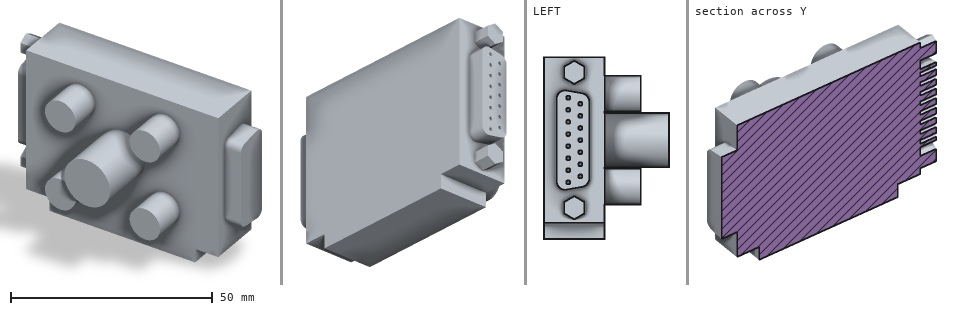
import cadquery as cq
import math

OVERALL_LENGTH = 66.5
BODY_LENGTH = 56.7
BODY_DEPTH = 15.0
BODY_HEIGHT = 41.0
FOOT_LENGTH = 43.0
FOOT_HEIGHT = 4.0

CENTRE_POST_DIAMETER = 13.5
CENTRE_POST_LENGTH = 15.95
CORNER_POST_DIAMETER = 9.0
CORNER_POST_LENGTH = 9.0
CORNER_POST_SPACING_X = 25.0
CORNER_POST_SPACING_Z = 23.0

SHELL_CORNER_RADIUS = 2.05
SOCKET_LENGTH = 5.0
SOCKET_DEPTH = 8.05
SOCKET_HEIGHT = 24.6
SOCKET_OFFSET_Y = 0.3
SOCKET_TAPER = 10.0
PLUG_LENGTH = OVERALL_LENGTH - BODY_LENGTH - SOCKET_LENGTH
PLUG_DEPTH = 9.65
PLUG_HEIGHT = 25.95
PLUG_OFFSET_Y = 0.25
PLUG_TAPER = 7.0

CONTACT_DIAMETER = 1.0
CONTACT_DEPTH = SOCKET_LENGTH
CONTACT_PITCH = 3.0
CONTACT_ROW_SPACING = 3.0
LONG_ROW_COUNT = 8

HEX_ACROSS_FLATS = 5.0
HEX_LENGTH = SOCKET_LENGTH
HEX_SPACING = 33.5


def make_housing():
    block = cq.Workplane("XY").box(BODY_LENGTH, BODY_DEPTH, BODY_HEIGHT)
    foot = (
        cq.Workplane("XY", origin=(0, 0, -BODY_HEIGHT / 2))
        .rect(FOOT_LENGTH, BODY_DEPTH)
        .extrude(-FOOT_HEIGHT)
    )
    return block.union(foot)


def make_posts():
    front_face = cq.Workplane("XZ", origin=(0, -BODY_DEPTH / 2, 0))
    centre_post = front_face.circle(CENTRE_POST_DIAMETER / 2).extrude(CENTRE_POST_LENGTH)
    corner_posts = (
        front_face.rect(CORNER_POST_SPACING_X, CORNER_POST_SPACING_Z, forConstruction=True)
        .vertices()
        .circle(CORNER_POST_DIAMETER / 2)
        .extrude(CORNER_POST_LENGTH)
    )
    return centre_post.union(corner_posts)


def make_shell(start_x, length, depth, height, offset_y, taper_degrees):
    """D-shaped prism along +X; height is measured over its rounded corners."""
    taper = math.radians(taper_degrees)
    arc_centre_z = height / 2 - SHELL_CORNER_RADIUS
    wide_z = arc_centre_z + SHELL_CORNER_RADIUS * (1 + math.sin(taper)) / math.cos(taper)
    narrow_z = wide_z - depth * math.tan(taper)
    wide_y = offset_y + depth / 2
    narrow_y = offset_y - depth / 2
    return (
        cq.Workplane("YZ", origin=(start_x, 0, 0))
        .polyline([(wide_y, wide_z), (narrow_y, narrow_z), (narrow_y, -narrow_z), (wide_y, -wide_z)])
        .close()
        .extrude(length)
        .edges("|X")
        .fillet(SHELL_CORNER_RADIUS)
    )


def make_jack_screws():
    hex_across_corners = HEX_ACROSS_FLATS / math.cos(math.pi / 6)
    screw = (
        cq.Workplane("YZ", origin=(-BODY_LENGTH / 2, 0, 0))
        .transformed(rotate=(0, 0, 90))
        .polygon(6, hex_across_corners)
        .extrude(-HEX_LENGTH)
    )
    upper_screw = screw.translate((0, 0, HEX_SPACING / 2))
    lower_screw = screw.translate((0, 0, -HEX_SPACING / 2))
    return upper_screw.union(lower_screw)


def make_contact_holes():
    """Two staggered rows; the row on the +Y side has one contact more."""
    points = []
    for row_y, count in (
        (CONTACT_ROW_SPACING / 2, LONG_ROW_COUNT),
        (-CONTACT_ROW_SPACING / 2, LONG_ROW_COUNT - 1),
    ):
        for index in range(count):
            points.append((row_y, (index - (count - 1) / 2) * CONTACT_PITCH))
    return (
        cq.Workplane("YZ", origin=(-BODY_LENGTH / 2 - SOCKET_LENGTH, 0, 0))
        .pushPoints(points)
        .circle(CONTACT_DIAMETER / 2)
        .extrude(CONTACT_DEPTH)
    )


socket = make_shell(
    -BODY_LENGTH / 2 - SOCKET_LENGTH,
    SOCKET_LENGTH,
    SOCKET_DEPTH,
    SOCKET_HEIGHT,
    SOCKET_OFFSET_Y,
    SOCKET_TAPER,
)
plug = make_shell(BODY_LENGTH / 2, PLUG_LENGTH, PLUG_DEPTH, PLUG_HEIGHT, PLUG_OFFSET_Y, PLUG_TAPER)

result = (
    make_housing()
    .union(make_posts())
    .union(socket)
    .union(plug)
    .union(make_jack_screws())
    .cut(make_contact_holes())
)